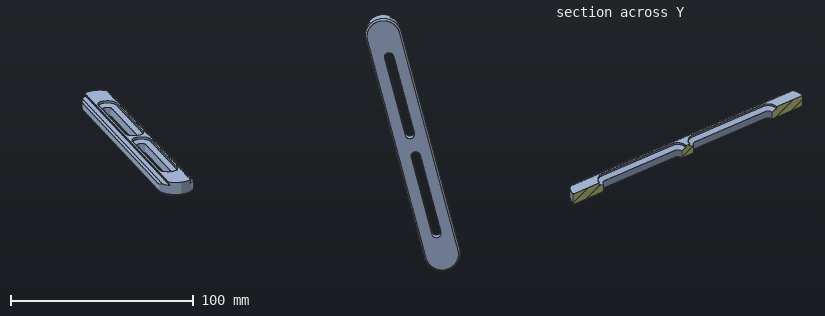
import cadquery as cq
import math

LENGTH = 150.0
WIDTH = 20.0
HEIGHT = 8.0
BOTTOM_CHAMFER = 1.0

LEDGE_HEIGHT = 6.1
LEDGE_CHAMFER = 1.1
RAIL_LIP_HEIGHT = 0.6
RAIL_FLANK_ANGLE = 30.0
RAIL_TOP_WIDTH = 13.1

SLOT_WIDTH = 5.0
SLOT_TRAVEL = 46.0
SLOT_CENTER_X = 29.5
SINK_WIDTH = 10.4
SINK_RIM_DEPTH = 1.3
SINK_TAPER = 60.0

RAIL_LIP_Z = HEIGHT - RAIL_LIP_HEIGHT
RAIL_OVERHANG = (RAIL_LIP_Z - LEDGE_HEIGHT) * math.tan(math.radians(RAIL_FLANK_ANGLE))
RAIL_ROOT_WIDTH = RAIL_TOP_WIDTH - 2 * RAIL_OVERHANG
SINK_CONE_DEPTH = (SINK_WIDTH - SLOT_WIDTH) / 2 / math.tan(math.radians(SINK_TAPER))
SINK_RIM_Z = HEIGHT - SINK_RIM_DEPTH


def make_body():
    """Stadium plate with its whole bottom edge chamfered."""
    plate = cq.Workplane("XY").slot2D(LENGTH, WIDTH).extrude(HEIGHT)
    return plate.faces("<Z").chamfer(BOTTOM_CHAMFER)


def make_rail_profile():
    """Bar cross-section, extruded along X: chamfered ledges beside a dovetail rail."""
    half_profile = [
        (WIDTH / 2, 0),
        (WIDTH / 2, LEDGE_HEIGHT - LEDGE_CHAMFER),
        (WIDTH / 2 - LEDGE_CHAMFER, LEDGE_HEIGHT),
        (RAIL_ROOT_WIDTH / 2, LEDGE_HEIGHT),
        (RAIL_TOP_WIDTH / 2, RAIL_LIP_Z),
        (RAIL_TOP_WIDTH / 2, HEIGHT),
    ]
    mirrored_half = [(-y, z) for y, z in reversed(half_profile)]
    section = cq.Workplane("YZ").polyline(half_profile + mirrored_half).close()
    return section.extrude(LENGTH / 2, both=True)


def slot_outline(center_x, z, width):
    """Slot outline at height z; its end arcs are centred SLOT_TRAVEL apart."""
    plane = cq.Workplane("XY", origin=(center_x, 0, z))
    return plane.slot2D(SLOT_TRAVEL + width, width)


def make_screw_slot(center_x):
    """Through slot, conical countersink and the short straight rim above it."""
    through = slot_outline(center_x, 0, SLOT_WIDTH).extrude(HEIGHT)
    rim = slot_outline(center_x, SINK_RIM_Z, SINK_WIDTH).extrude(SINK_RIM_DEPTH)
    cone = slot_outline(center_x, SINK_RIM_Z, SINK_WIDTH).extrude(-SINK_CONE_DEPTH, taper=SINK_TAPER)
    return through.union(rim).union(cone)


result = make_body().intersect(make_rail_profile())
for slot_x in (-SLOT_CENTER_X, SLOT_CENTER_X):
    result = result.cut(make_screw_slot(slot_x))